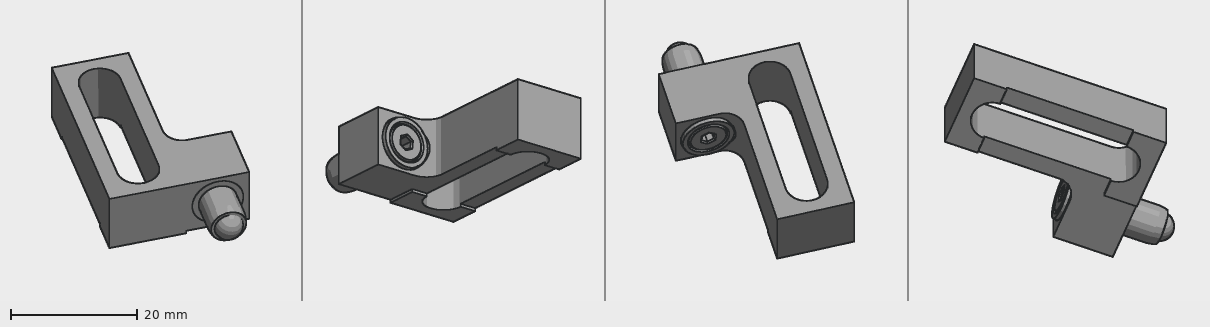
import cadquery as cq
import math

LENGTH_X = 32.766
LENGTH_Y = 23.114
HEIGHT = 10.414
BASE_DEPTH = 12.7
ARM_WIDTH = 10.16
ARM_FACE_X = LENGTH_X - ARM_WIDTH
CORNER_RADIUS = 3.175
RELIEF_HEIGHT = 0.508

SLOT_LENGTH = 28.4
SLOT_WIDTH = 6.8
SLOT_X = LENGTH_X / 2
SLOT_Y = BASE_DEPTH / 2

FOOT_LENGTH = 5.6
CHANNEL_LENGTH = LENGTH_X - 2 * FOOT_LENGTH

AXIS_Y = (BASE_DEPTH + LENGTH_Y) / 2
AXIS_Z = (RELIEF_HEIGHT + HEIGHT) / 2

BUSHING_RADIUS = 4.22
RECESS_RADIUS = 4.38
RECESS_DEPTH = 0.5
BUSHING_PROJECTION = 0.635
BUSHING_START_X = ARM_FACE_X - BUSHING_PROJECTION
EDGE_CHAMFER = 0.254

SCREW_RADIUS = 6.35 / 2
SCREW_START_X = BUSHING_START_X
TIP_X = 41.02
BALL_RADIUS = 4.7625 / 2
BALL_X = TIP_X - BALL_RADIUS
BALL_SEAT_OVERLAP = 0.34
SCREW_END_X = BALL_X + BALL_SEAT_OVERLAP
END_LENGTH = 1.45
END_ARC_RADIUS = 4.0
HEX_SIDES = 6
HEX_FLATS = 1.984
HEX_DEPTH = 2.5
HEX_TURN = 6.0


def on_axis(body):
    """Move a body built along +Z at the origin onto the screw axis, pointing along +X."""
    return body.rotate((0, 0, 0), (0, 1, 0), 90).translate((0, AXIS_Y, AXIS_Z))


def rod(radius, start_x, end_x):
    """Plain cylinder on the screw axis."""
    return on_axis(cq.Workplane("XY", origin=(0, 0, start_x)).circle(radius).extrude(end_x - start_x))


def make_housing():
    """Base and raised arm, with the slot, underside channel, bushing bore and clearance recess."""
    base = cq.Workplane("XY").box(LENGTH_X, BASE_DEPTH, HEIGHT, centered=False)
    arm = (
        cq.Workplane("XY", origin=(0, 0, RELIEF_HEIGHT))
        .moveTo(ARM_FACE_X - CORNER_RADIUS, BASE_DEPTH)
        .radiusArc((ARM_FACE_X, BASE_DEPTH + CORNER_RADIUS), -CORNER_RADIUS)
        .lineTo(ARM_FACE_X, LENGTH_Y)
        .lineTo(LENGTH_X, LENGTH_Y)
        .lineTo(LENGTH_X, BASE_DEPTH)
        .close()
        .extrude(HEIGHT - RELIEF_HEIGHT)
    )
    slot = cq.Workplane("XY").center(SLOT_X, SLOT_Y).slot2D(SLOT_LENGTH, SLOT_WIDTH).extrude(HEIGHT)
    channel = cq.Workplane("XY", origin=(FOOT_LENGTH, 0, 0)).box(
        CHANNEL_LENGTH, BASE_DEPTH, RELIEF_HEIGHT, centered=False
    )
    bore = rod(BUSHING_RADIUS, ARM_FACE_X, LENGTH_X)
    recess = rod(RECESS_RADIUS, ARM_FACE_X - CORNER_RADIUS, ARM_FACE_X + RECESS_DEPTH)
    return base.union(arm).cut(slot).cut(channel).cut(bore).cut(recess)


def make_bushing():
    """Straight sleeve, proud of the arm on the -X side and flush on the +X side."""
    sleeve = rod(BUSHING_RADIUS, BUSHING_START_X, LENGTH_X)
    sleeve = sleeve.cut(rod(SCREW_RADIUS, BUSHING_START_X, LENGTH_X))
    bore_rim = sleeve.faces("<X").edges(cq.selectors.RadiusNthSelector(0))
    return bore_rim.chamfer(EDGE_CHAMFER)


def make_ball():
    return cq.Workplane("XY").sphere(BALL_RADIUS).translate((BALL_X, AXIS_Y, AXIS_Z))


def make_hex_socket():
    """Hexagonal key socket with a flared mouth, sunk into the -X end of the screw."""
    mouth_flats = HEX_FLATS + 2 * EDGE_CHAMFER
    flats_to_corners = 1 / math.cos(math.pi / HEX_SIDES)
    mouth = (
        cq.Workplane("XY")
        .polygon(HEX_SIDES, mouth_flats * flats_to_corners)
        .workplane(offset=EDGE_CHAMFER)
        .polygon(HEX_SIDES, HEX_FLATS * flats_to_corners)
        .loft(ruled=True)
    )
    socket = cq.Workplane("XY").polygon(HEX_SIDES, HEX_FLATS * flats_to_corners).extrude(HEX_DEPTH)
    socket = socket.union(mouth).rotate((0, 0, 0), (0, 0, 1), HEX_TURN)
    return on_axis(socket.translate((0, 0, SCREW_START_X)))


def make_screw(ball):
    """Turned screw with convex shoulders at both ends, a key socket and a spherical ball seat."""
    end_drop = END_ARC_RADIUS - math.sqrt(END_ARC_RADIUS**2 - END_LENGTH**2)
    screw = (
        cq.Workplane("XY")
        .moveTo(SCREW_START_X, 0)
        .lineTo(SCREW_START_X, SCREW_RADIUS - end_drop)
        .radiusArc((SCREW_START_X + END_LENGTH, SCREW_RADIUS), END_ARC_RADIUS)
        .lineTo(SCREW_END_X - END_LENGTH, SCREW_RADIUS)
        .radiusArc((SCREW_END_X, SCREW_RADIUS - end_drop), END_ARC_RADIUS)
        .lineTo(SCREW_END_X, 0)
        .close()
        .revolve(360, (0, 0, 0), (1, 0, 0))
        .translate((0, AXIS_Y, AXIS_Z))
    )
    return screw.cut(make_hex_socket()).cut(ball)


housing = make_housing()
bushing = make_bushing()
ball = make_ball()
screw = make_screw(ball)

result = cq.Compound.makeCompound([housing.val(), bushing.val(), screw.val(), ball.val()])